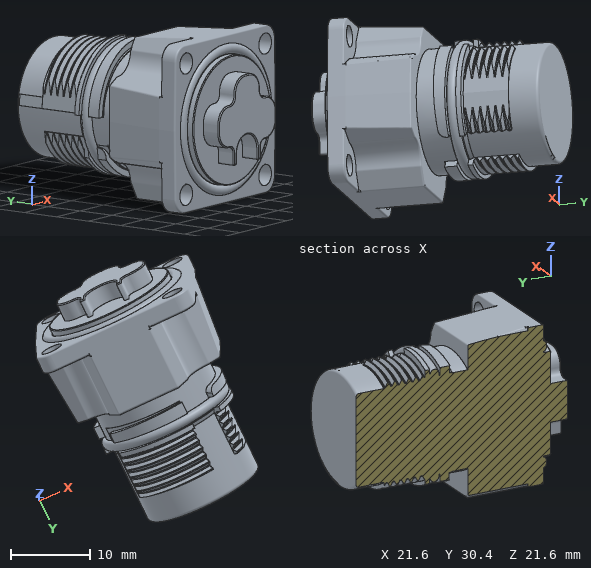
import cadquery as cq
import math


flange_half = 10.8
side_draft = 0.2
flange_depth = 2.3
flange_corner_radius = 2.0
flange_edge_radius = 0.25
hole_offset = 8.43
hole_diameter = 2.7
block_taper_start = 2.5
block_back = 10.95
block_back_half = 10.05
block_edge_radius = 0.25
block_front = flange_depth - 2 * flange_edge_radius
flute_radius = 2.9
flute_wall_angle = 30.0
flute_wall_blend = 0.5

disc_radius = 8.3
disc_depth = 1.0
disc_bevel = 0.12
face_seal_tube = 0.72
face_seal_radius = 9.02
face_seal_proud = 0.45
boss_front = 3.4
boss_edge_radius = 0.15
lobe_tip = 6.13
lobe_half = 2.7
lobe_corner_radius = 2.2
lobe_blend = 1.0
leg_outer = 2.88
leg_inner = 2.2
leg_bottom = -5.15
leg_blend = 0.9
leg_end_radius = 0.2
relief_center_z = -3.75

neck_radius = 8.02
sleeve_radius = 7.75
sleeve_back = 27.0
sleeve_edge_radius = 0.45
thread_front = 17.06
thread_back = 23.0
collar_front = 16.4
collar_radius = 8.9
neck_end = collar_front + 0.15
sleeve_seal_tube = 0.7
sleeve_seal_radius = 8.12
sleeve_seal_y = 15.7

thread_crest_radius = 8.34
thread_root_radius = 7.84
thread_pitch = 1.0
groove_root_width = 0.15
groove_mouth_width = 0.85
crest_y_at_top = 22.45
groove_turn_share = 0.95

flat_half = 7.8
flat_draft = 0.1
strip_height = 1.45
strip_half = 7.79

sector_count = 3
sector_pitch = 360.0 / sector_count
sector_start = 82.8
sector_end = sector_start + 90.0
parting_angle = 180.0
lug_pad_front = 13.2
lug_front = 13.3
lug_back = 14.95
lug_ramp_rise = 0.42
lug_tip_radius = 1.0
trimmed_tip_shift = 9.0
lug_pad_height = 0.06
padded_lugs = (0, 1)
trimmed_lug = 1

trim_start = 7.73
trim_draft = 0.165

embed = 0.3


def at_y(y):
    """Sketch plane at the given Y, with X right and Z up; extrusions run toward -Y."""
    return cq.Workplane("XZ", origin=(0, y, 0))


def cylinder(radius, y_front, y_back):
    return at_y(y_back).circle(radius).extrude(y_back - y_front)


def torus(radius, tube, y):
    return cq.Workplane("XY").center(radius, y).circle(tube).revolve(360, (-radius, 0), (-radius, 1))


def turn(shape, angle):
    """Rotate about Y so that points move from +X toward +Z."""
    return shape.rotate((0, 0, 0), (0, 1, 0), -angle)


def polar(radius, angle):
    a = math.radians(angle)
    return (radius * math.cos(a), radius * math.sin(a))


def ring_sector(inner, outer, start, end, y_front, y_back):
    middle = (start + end) / 2
    return (
        at_y(y_back)
        .moveTo(*polar(inner, start))
        .lineTo(*polar(outer, start))
        .threePointArc(polar(outer, middle), polar(outer, end))
        .lineTo(*polar(inner, end))
        .threePointArc(polar(inner, middle), polar(inner, start))
        .close()
        .extrude(y_back - y_front)
    )


def drafted_outline(half, lean):
    """Square whose left and right sides are widest at Z = 0."""
    right = [(half - lean, -half), (half, 0), (half - lean, half)]
    left = [(-x, -z) for x, z in right]
    return right + left


def make_flange():
    outline = drafted_outline(flange_half, side_draft)
    flange = at_y(flange_depth).polyline(outline).close().extrude(flange_depth)
    corner = flange_half - side_draft
    for x in (-corner, corner):
        for z in (-flange_half, flange_half):
            nearest = cq.selectors.NearestToPointSelector((x, flange_depth / 2, z))
            flange = flange.edges(nearest).fillet(flange_corner_radius)
    return flange.faces("<Y or >Y").edges().fillet(flange_edge_radius)


def make_flute(sign_x, sign_z):
    """Clearance behind one screw hole: a quarter round with walls that flare outward."""
    reach = flange_half + 1.0
    run = reach - hole_offset
    flare = run * math.tan(math.radians(flute_wall_angle))
    near = hole_offset - flute_radius
    diagonal = hole_offset - flute_radius * math.sqrt(0.5)
    overshoot = 1.0
    depth = block_back - block_front + overshoot

    def place(x, z):
        return (sign_x * x, sign_z * z)

    flute = (
        at_y(block_back + overshoot)
        .moveTo(*place(near - flare, reach))
        .lineTo(*place(near, hole_offset))
        .threePointArc(place(diagonal, diagonal), place(hole_offset, near))
        .lineTo(*place(reach, near - flare))
        .lineTo(*place(reach, reach))
        .close()
        .extrude(depth)
    )
    middle_y = block_back + overshoot - depth / 2
    for x, z in (place(near, hole_offset), place(hole_offset, near)):
        flute = flute.edges(cq.selectors.NearestToPointSelector((x, middle_y, z))).fillet(flute_wall_blend)
    return flute


def make_block():
    """Fluted block that tapers toward the back on every side but the bottom."""
    back_outline = [
        (x, -flange_half if z < 0 else z) for x, z in drafted_outline(block_back_half, side_draft)
    ]
    front_outline = drafted_outline(flange_half, side_draft)
    straight_depth = block_taper_start - block_front
    straight = at_y(block_taper_start).polyline(front_outline).close().extrude(straight_depth)
    block = (
        at_y(block_taper_start)
        .polyline(front_outline)
        .close()
        .workplane(offset=block_taper_start - block_back)
        .polyline(back_outline)
        .close()
        .loft(ruled=True)
    )
    for sign_x in (-1, 1):
        for sign_z in (-1, 1):
            flute = make_flute(sign_x, sign_z)
            block = block.cut(flute)
            straight = straight.cut(flute)
    arm_edge = (flange_half + block_back_half) / 2
    arm_flare = (arm_edge - hole_offset) * math.tan(math.radians(flute_wall_angle))
    arm_half = hole_offset - flute_radius - arm_flare
    middle_y = (block_taper_start + block_back) / 2
    for sign_x in (-1, 1):
        for sign_z in (-1, 1):
            for x, z in ((arm_edge, arm_half), (arm_half, arm_edge)):
                nearest = cq.selectors.NearestToPointSelector((sign_x * x, middle_y, sign_z * z))
                block = block.edges(nearest).fillet(block_edge_radius)
    block = block.faces(">Y").edges().fillet(block_edge_radius)
    return block.union(straight)


def round_y_edges(body, corners, middle_y, radius):
    """Fillet the edges along Y at the given corners and at their mirror images in X."""
    for x, z in corners:
        for sign in (-1, 1):
            nearest = cq.selectors.NearestToPointSelector((sign * x, middle_y, z))
            body = body.edges("|Y").edges(nearest).fillet(radius)
    return body


def make_boss():
    """Three-lobed key with two thin legs beside a round relief."""
    right_side = [
        (lobe_half, lobe_tip),
        (lobe_half, lobe_half),
        (lobe_tip, lobe_half),
        (lobe_tip, -lobe_half),
        (leg_outer, -lobe_half),
        (leg_outer, leg_bottom),
    ]
    left_side = [(-x, z) for x, z in reversed(right_side)]
    boss_back = -disc_depth + embed
    boss_depth = boss_front + boss_back
    middle_y = (boss_back - boss_front) / 2
    relief = (
        at_y(boss_back)
        .moveTo(leg_inner, leg_bottom)
        .lineTo(leg_inner, relief_center_z)
        .threePointArc((0, relief_center_z + leg_inner), (-leg_inner, relief_center_z))
        .lineTo(-leg_inner, leg_bottom)
        .close()
        .extrude(boss_depth)
    )
    boss = at_y(boss_back).polyline(right_side + left_side).close().extrude(boss_depth).cut(relief)
    outer_corners = [right_side[0], right_side[2], right_side[3]]
    boss = round_y_edges(boss, outer_corners, middle_y, lobe_corner_radius)
    boss = round_y_edges(boss, [right_side[1]], middle_y, lobe_blend)
    boss = round_y_edges(boss, [right_side[4]], middle_y, leg_blend)
    boss = round_y_edges(boss, [(leg_outer, leg_bottom), (leg_inner, leg_bottom)], middle_y, leg_end_radius)
    return boss.faces("<Y").edges().chamfer(boss_edge_radius)


def make_mating_face():
    disc = cylinder(disc_radius, -disc_depth, embed).faces("<Y").edges().chamfer(disc_bevel)
    seal = torus(face_seal_radius, face_seal_tube, face_seal_tube - face_seal_proud)
    return disc.union(seal).union(make_boss())


def make_sleeve():
    neck = cylinder(neck_radius, flange_depth, neck_end)
    neck_cone = (
        cq.Workplane("XY")
        .polyline([(0, neck_end), (neck_radius, neck_end), (sleeve_radius, thread_front), (0, thread_front)])
        .close()
        .revolve(360, (0, 0), (0, 1))
    )
    tube = cylinder(sleeve_radius, collar_front, sleeve_back).faces(">Y").edges().fillet(sleeve_edge_radius)
    seal = torus(sleeve_seal_radius, sleeve_seal_tube, sleeve_seal_y)
    return neck.union(neck_cone).union(tube).union(seal)


def sector_ends(index):
    start = sector_start + index * sector_pitch
    end = parting_angle if index == 0 else sector_end + index * sector_pitch
    return start, end


def make_lower_left_trim():
    """Material to remove from the lower left sector, outside a sloping plane along Y."""
    reach = collar_radius + 1.0
    return (
        at_y(sleeve_back)
        .polyline(
            [(-reach, 0), (-trim_start, 0), (trim_draft * reach - trim_start, -reach), (-reach, -reach)]
        )
        .close()
        .extrude(sleeve_back - block_back)
    )


def make_sectors(inner, outer, y_front, y_back):
    sectors = cq.Workplane("XZ")
    for index in range(sector_count):
        sectors = sectors.add(ring_sector(inner, outer, *sector_ends(index), y_front, y_back))
    return sectors.combine().cut(make_lower_left_trim())


def make_side_flats(half, y_front, y_back):
    """Prism between drafted side flats with the given half width at Z = 0."""
    height = collar_radius
    narrow = half - flat_draft * height
    right = [(narrow, -height), (half, 0), (narrow, height)]
    left = [(-x, -z) for x, z in right]
    return at_y(y_back).polyline(right + left).close().extrude(y_back - y_front)


def make_groove_turn():
    """One right-handed turn of the thread groove about Y, open within the first gap."""
    overcut = 0.1
    mouth_radius = thread_crest_radius + overcut
    half_root = groove_root_width / 2
    flank_slope = (groove_mouth_width / 2 - half_root) / (thread_crest_radius - thread_root_radius)
    half_mouth = half_root + flank_slope * (mouth_radius - thread_root_radius)
    path = cq.Wire.makeHelix(thread_pitch, thread_pitch * groove_turn_share, thread_root_radius)
    groove = (
        cq.Workplane("XZ")
        .polyline(
            [
                (thread_root_radius, -half_root),
                (mouth_radius, -half_mouth),
                (mouth_radius, half_mouth),
                (thread_root_radius, half_root),
            ]
        )
        .close()
        .sweep(cq.Workplane(path), isFrenet=True)
    )
    return groove.rotate((0, 0, 0), (1, 0, 0), -90)


def make_thread():
    """Helical thread left standing on the three sectors and trimmed by the side flats."""
    thread = make_sectors(sleeve_radius - embed, thread_crest_radius, thread_front, thread_back)
    thread = thread.intersect(make_side_flats(flat_half, thread_front, thread_back))
    gap_middle = (sector_start + sector_end - sector_pitch) / 2
    start_angle = gap_middle - 360.0 * (1 - groove_turn_share) / 2
    share_at_top = (start_angle + 270.0) / 360.0
    first_y = crest_y_at_top + thread_pitch * (0.5 - share_at_top)
    groove_turn = turn(make_groove_turn(), start_angle)
    turn_count = math.ceil((thread_back - thread_front) / thread_pitch) + 2
    grooves = cq.Workplane("XZ")
    for index in range(turn_count):
        grooves = grooves.add(groove_turn.translate((0, first_y + thread_pitch * (1 - index), 0)))
    return thread.cut(cq.Workplane(cq.Compound.makeCompound(grooves.vals())))


def make_parting_strip():
    """Narrow drafted flat on the sleeve's -X side, just above the parting plane."""
    strip_back = sleeve_back - sleeve_edge_radius
    length = strip_back - thread_back
    bar = cq.Workplane("XY").box(2 * embed, length, strip_height, centered=False)
    bar = bar.translate((-strip_half, thread_back, 0))
    return bar.intersect(make_side_flats(strip_half, thread_back, strip_back))


def make_lugs():
    """Locking lugs with a sloping front edge and one rounded tip."""
    tip_x = polar(collar_radius, sector_start)[0]
    outline = (
        cq.Workplane("XY")
        .polyline(
            [
                (-collar_radius, lug_front),
                (tip_x, lug_front + lug_ramp_rise),
                (tip_x, lug_back),
                (-collar_radius, lug_back),
            ]
        )
        .close()
        .extrude(collar_radius)
    )
    tip = cq.selectors.NearestToPointSelector((tip_x, lug_front + lug_ramp_rise, collar_radius / 2))
    envelope = outline.edges(tip).fillet(lug_tip_radius)
    lugs = cq.Workplane("XZ")
    for index in range(sector_count):
        sector = ring_sector(neck_radius - embed, collar_radius, *sector_ends(index), lug_front, lug_back)
        tip_shift = trimmed_tip_shift if index == trimmed_lug else 0
        lugs = lugs.add(sector.intersect(turn(envelope, index * sector_pitch + tip_shift)))
    for index in padded_lugs:
        ends = sector_ends(index)
        lugs = lugs.add(
            ring_sector(neck_radius - embed, neck_radius + lug_pad_height, *ends, lug_pad_front, lug_back)
        )
    return lugs.combine().cut(make_lower_left_trim())


result = (
    make_flange()
    .union(make_block())
    .union(make_mating_face())
    .union(make_sleeve())
    .union(make_sectors(sleeve_radius - embed, collar_radius, collar_front, thread_front))
    .union(make_thread())
    .union(make_parting_strip())
    .union(make_lugs())
)
screw_holes = at_y(flange_depth).rect(2 * hole_offset, 2 * hole_offset, forConstruction=True).vertices()
result = result.cut(screw_holes.circle(hole_diameter / 2).extrude(flange_depth))